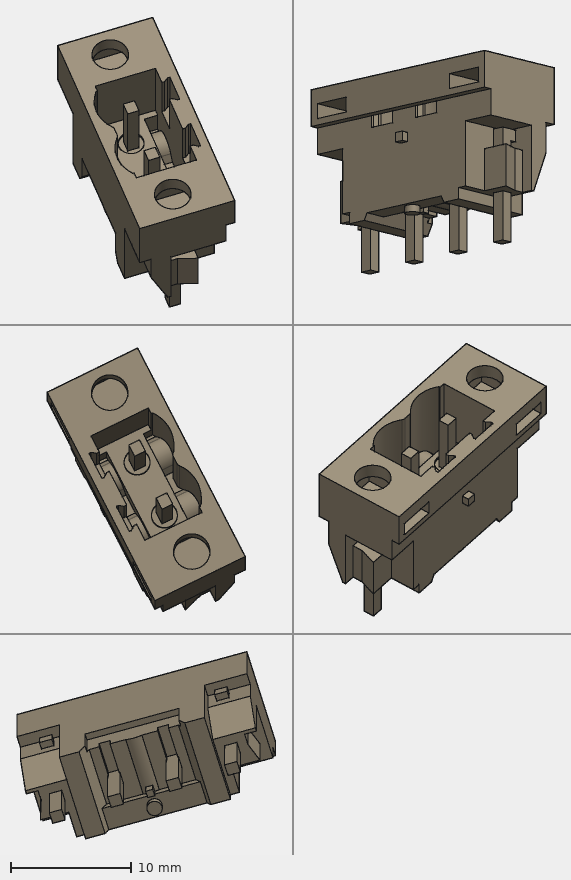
import cadquery as cq
import math


LENGTH = 19.96
DEPTH = 8.42
HEIGHT = 11.98
BACK_Y = 7.66
FLANGE_Z = 8.82

PITCH = 5.07
CONTACT_XS = (-PITCH / 2, PITCH / 2)
EAR_XS = (-1.5 * PITCH, 1.5 * PITCH)
PIN_Y = 3.8
PIN_WIDTH = 1.08
PIN_DEPTH = 1.0
PIN_BOTTOM_Z = -3.23
PIN_FRONT_Y = PIN_Y - PIN_DEPTH / 2
CONTACT_TOP_Z = 11.08

CAVITY_HALF = 4.99
CAVITY_FRONT_Y = 1.52
CAVITY_BACK_Y = 6.85
FLOOR_Z = 5.99
LOBE_RADIUS = 3.07
CUSP_RADIUS = 0.4
WELL_HALF = 4.45
WELL_Z = 4.0
RIDGE_FRONT_Y = 2.24
RIDGE_BACK_Y = 5.67
HUMP_FOOT_HALF = 1.68
HUMP_ARC_HALF = 1.25
HUMP_RADIUS = 1.5
COLLAR_RADIUS = 1.08
COLLAR_DEPTH = 0.2

SLOT_MOUTH_HALF = 0.92
SLOT_BACK_HALF = 1.2
SLOT_NECK = 0.25
SLOT_END = 0.2
SILL_Z = 7.82

SCREW_RADIUS = 1.52
NUT_HALF = 1.65
NUT_TOP_Z = 10.65
NUT_BOTTOM_Z = 9.38

BODY_HALF = 6.29
EAR_CEILING_Z = 7.1
EAR_FRONT_Y = 1.0
EAR_BOTTOM_Z = 0.98
SLOPE_TOP_Z = 4.51
SLOPE_BOTTOM_Y = 2.48
RECESS_INNER_X = EAR_XS[1] - PIN_WIDTH / 2
RECESS_FRONT_Y = 2.77
RECESS_CEILING_Z = 6.57
HOLDER_TOP_Z = 4.6
HOLDER_X = 8.96
HOLDER_BACK_X = 9.52
HOLDER_BEND_Y = 3.71
HOLDER_BACK_Y = 5.35

FACE_HALF = 4.07
FACE_TOP_Z = 3.55
FACE_DEPTH = 0.55
UNDERSIDE_Z = 1.32
GAP_TOP_HALF = 3.87
GAP_BOTTOM_HALF = 4.6
NOTCH_WIDTH = 0.94
NOTCH_TOP_Z = 2.04
BUMP_HALF = 0.7
BUMP_DROP = 0.15
RIB_BOTTOM_Z = 0.6
POST_WIDTH = 0.62
POST_DEPTH = 0.6
POST_BOTTOM_Z = 0.24
PEG_RADIUS = 0.64

NUB_WIDTH = 0.8
NUB_REACH = 0.62
NUB_Z = (5.9, 6.7)

EAR_PIN_TOP_Z = 6.45
EAR_PIN_TIP_Y = 0.4


def block(xs, ys, zs):
    """Box between the given pairs of limits."""
    size = (xs[1] - xs[0], ys[1] - ys[0], zs[1] - zs[0])
    return cq.Workplane("XY").box(*size, centered=False).translate((xs[0], ys[0], zs[0]))


def around(x, width):
    """Pair of X limits centred on x."""
    return (x - width / 2, x + width / 2)


def cylinder(x, y, radius, zs):
    """Upright cylinder between two heights."""
    return cq.Workplane("XY", origin=(x, y, zs[0])).circle(radius).extrude(zs[1] - zs[0])


def front_profile(start_y):
    """Workplane in X and Z that extrudes backwards (+Y) with a negative distance."""
    return cq.Workplane("XZ", origin=(0, start_y, 0))


def both_sides(shape):
    """A feature of the +X side together with its mirror image."""
    return shape.union(shape.mirror("YZ"))


def ear_cuts():
    """Space in front of, behind and below the ears."""
    outline = [
        (0, EAR_CEILING_Z),
        (EAR_FRONT_Y, EAR_CEILING_Z),
        (EAR_FRONT_Y, SLOPE_TOP_Z),
        (SLOPE_BOTTOM_Y, EAR_BOTTOM_Z),
        (BACK_Y, EAR_BOTTOM_Z),
        (BACK_Y, 0),
        (0, 0),
    ]
    front = (
        cq.Workplane("YZ", origin=(BODY_HALF, 0, 0))
        .polyline(outline).close().extrude(LENGTH / 2 - BODY_HALF)
    )
    recess = block((RECESS_INNER_X, LENGTH / 2), (RECESS_FRONT_Y, BACK_Y), (0, RECESS_CEILING_Z))
    return both_sides(front.union(recess))


def ear_holders():
    """Block with a slanted side round each ear pin."""
    outline = [
        (RECESS_INNER_X, RECESS_FRONT_Y),
        (HOLDER_X, RECESS_FRONT_Y),
        (HOLDER_X, HOLDER_BEND_Y),
        (HOLDER_BACK_X, HOLDER_BACK_Y),
        (RECESS_INNER_X, HOLDER_BACK_Y),
    ]
    holder = (
        cq.Workplane("XY", origin=(0, 0, EAR_BOTTOM_Z))
        .polyline(outline).close().extrude(HOLDER_TOP_Z - EAR_BOTTOM_Z)
    )
    return both_sides(holder)


def hump(x, ys):
    """Rounded hump with sloping flanks along the bottom of a well."""
    foot_angle = math.asin(HUMP_ARC_HALF / HUMP_RADIUS)
    flank_height = (HUMP_FOOT_HALF - HUMP_ARC_HALF) * math.tan(foot_angle)
    shoulder_z = WELL_Z + flank_height
    crown_z = shoulder_z + HUMP_RADIUS * (1 - math.cos(foot_angle))
    return (
        front_profile(ys[0])
        .moveTo(x - HUMP_FOOT_HALF, WELL_Z)
        .lineTo(x - HUMP_ARC_HALF, shoulder_z)
        .threePointArc((x, crown_z), (x + HUMP_ARC_HALF, shoulder_z))
        .lineTo(x + HUMP_FOOT_HALF, WELL_Z)
        .close()
        .extrude(ys[0] - ys[1])
    )


def round_cusps(front_well):
    """Round the two upright edges where the lobes meet the wall between them."""
    lobe_half_width = math.sqrt(LOBE_RADIUS ** 2 - (PIN_Y - CAVITY_FRONT_Y) ** 2)
    cusp_x = PITCH / 2 - lobe_half_width
    low = (-cusp_x - CUSP_RADIUS, CAVITY_FRONT_Y - CUSP_RADIUS, WELL_Z)
    high = (cusp_x + CUSP_RADIUS, CAVITY_FRONT_Y + CUSP_RADIUS, HEIGHT)
    return front_well.edges("|Z").edges(cq.selectors.BoxSelector(low, high)).fillet(CUSP_RADIUS)


def plug_cavity():
    """Cavity for the plug, with lobes at the front and wells in front of and behind the floor."""
    cavity = block((-CAVITY_HALF, CAVITY_HALF), (CAVITY_FRONT_Y, CAVITY_BACK_Y), (FLOOR_Z, HEIGHT))
    well_xs = (-WELL_HALF, WELL_HALF)
    front_ys = (PIN_Y - LOBE_RADIUS, RIDGE_FRONT_Y)
    back_ys = (RIDGE_BACK_Y, CAVITY_BACK_Y)
    front_well = block(well_xs, (CAVITY_FRONT_Y, RIDGE_FRONT_Y), (WELL_Z, HEIGHT))
    front_limits = block(well_xs, front_ys, (WELL_Z, HEIGHT))
    for x in CONTACT_XS:
        lobe = cylinder(x, PIN_Y, LOBE_RADIUS, (WELL_Z, HEIGHT))
        front_well = front_well.union(lobe.intersect(front_limits))
    front_well = round_cusps(front_well)
    back_well = block(well_xs, back_ys, (WELL_Z, HEIGHT))
    for x in CONTACT_XS:
        front_well = front_well.cut(hump(x, front_ys))
        back_well = back_well.cut(hump(x, back_ys))
        cavity = cavity.union(cylinder(x, PIN_Y, COLLAR_RADIUS, (FLOOR_Z - COLLAR_DEPTH, FLOOR_Z)))
    return cavity.union(front_well).union(back_well)


def coding_slot(x):
    """Dovetail slot in the rear cavity wall; it breaks through the rear face below the flange."""
    neck_y = CAVITY_BACK_Y + SLOT_NECK
    end_y = BACK_Y - SLOT_END
    outline = [
        (x - SLOT_MOUTH_HALF, CAVITY_BACK_Y),
        (x - SLOT_MOUTH_HALF, neck_y),
        (x - SLOT_BACK_HALF, end_y),
        (x - SLOT_BACK_HALF, BACK_Y),
        (x + SLOT_BACK_HALF, BACK_Y),
        (x + SLOT_BACK_HALF, end_y),
        (x + SLOT_MOUTH_HALF, neck_y),
        (x + SLOT_MOUTH_HALF, CAVITY_BACK_Y),
    ]
    return (
        cq.Workplane("XY", origin=(0, 0, SILL_Z))
        .polyline(outline).close().extrude(HEIGHT - SILL_Z)
    )


def screw_hole(x):
    """Screw hole above a nut slot that opens at the rear."""
    hole = cylinder(x, PIN_Y, SCREW_RADIUS, (NUT_BOTTOM_Z, HEIGHT))
    slot = block(around(x, 2 * NUT_HALF), (PIN_Y - NUT_HALF, DEPTH), (NUT_BOTTOM_Z, NUT_TOP_Z))
    return hole.union(slot)


def underside_cuts():
    """Tapered gap between the legs, recessed lower front face and contact notches."""
    gap_outline = [
        (-GAP_TOP_HALF, UNDERSIDE_Z),
        (GAP_TOP_HALF, UNDERSIDE_Z),
        (GAP_BOTTOM_HALF, 0),
        (-GAP_BOTTOM_HALF, 0),
    ]
    cuts = front_profile(0).polyline(gap_outline).close().extrude(-BACK_Y)
    rib = block((-BODY_HALF, BODY_HALF), (RIDGE_BACK_Y, BACK_Y), (RIB_BOTTOM_Z, UNDERSIDE_Z))
    cuts = cuts.cut(rib)
    cuts = cuts.union(block((-FACE_HALF, FACE_HALF), (0, FACE_DEPTH), (0, FACE_TOP_Z)))
    for x in CONTACT_XS:
        cuts = cuts.union(block(around(x, NOTCH_WIDTH), (0, PIN_FRONT_Y), (UNDERSIDE_Z, NOTCH_TOP_Z)))
    return cuts


def underside_parts():
    """Rounded bump, post and locating peg under the middle of the housing."""
    bump = (
        front_profile(FACE_DEPTH)
        .moveTo(-BUMP_HALF, UNDERSIDE_Z)
        .threePointArc((0, UNDERSIDE_Z - BUMP_DROP), (BUMP_HALF, UNDERSIDE_Z))
        .close()
        .extrude(FACE_DEPTH - RIDGE_BACK_Y)
    )
    post_ys = (RIDGE_BACK_Y - POST_DEPTH, RIDGE_BACK_Y)
    post = block(around(0, POST_WIDTH), post_ys, (POST_BOTTOM_Z, UNDERSIDE_Z))
    peg = cylinder(0, (RIDGE_BACK_Y + BACK_Y) / 2, PEG_RADIUS, (0, RIB_BOTTOM_Z))
    return bump.union(post).union(peg)


def make_contact_pin(x):
    """Straight square pin that stands in the plug cavity."""
    ys = (PIN_FRONT_Y, PIN_FRONT_Y + PIN_DEPTH)
    return block(around(x, PIN_WIDTH), ys, (PIN_BOTTOM_Z, CONTACT_TOP_Z))


def make_ear_pin(x):
    """L-shaped pin whose upper leg passes forwards through the ear wall."""
    ys = (PIN_FRONT_Y, PIN_FRONT_Y + PIN_DEPTH)
    upright = block(around(x, PIN_WIDTH), ys, (PIN_BOTTOM_Z, EAR_PIN_TOP_Z))
    leg_ys = (EAR_PIN_TIP_Y, PIN_FRONT_Y)
    leg = block(around(x, PIN_WIDTH), leg_ys, (EAR_PIN_TOP_Z - PIN_DEPTH, EAR_PIN_TOP_Z))
    return upright.union(leg)


def make_housing(pins):
    """Header housing with a matching hole for every pin."""
    body = block((-LENGTH / 2, LENGTH / 2), (0, DEPTH), (0, HEIGHT))
    body = body.cut(block((-LENGTH / 2, LENGTH / 2), (BACK_Y, DEPTH), (0, FLANGE_Z)))
    body = body.cut(ear_cuts()).union(ear_holders())
    body = body.cut(plug_cavity()).cut(underside_cuts()).union(underside_parts())
    body = body.union(block(around(0, NUB_WIDTH), (BACK_Y, BACK_Y + NUB_REACH), NUB_Z))
    for x in CONTACT_XS:
        body = body.cut(coding_slot(x))
    for x in EAR_XS:
        body = body.cut(screw_hole(x))
    for pin in pins:
        body = body.cut(pin)
    return body


contact_pins = [make_contact_pin(x) for x in CONTACT_XS]
ear_pins = [make_ear_pin(x) for x in EAR_XS]
housing = make_housing(contact_pins + ear_pins)

result = cq.Compound.makeCompound(
    [housing.solids().val(), *[pin.solids().val() for pin in contact_pins + ear_pins]]
)